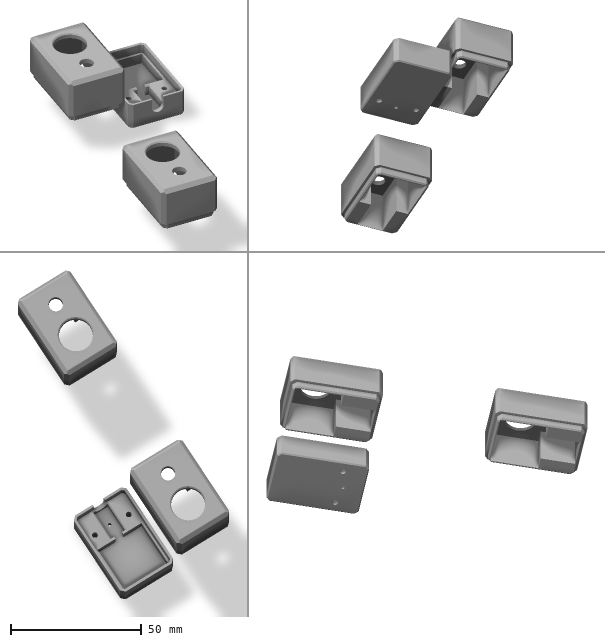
import cadquery as cq
import math

overall_length = 116.3
overall_width = 49.6
overall_height = 29.6

case_length = 36.0
case_width = 24.0
mid_width = case_width / 2
corner_chamfer = 1.5
bottom_chamfer = 0.5
wall = 2.0
battery_end = 20.8
passage_end = case_length - 1.7

shell_height = 15.9
skirt_height = 3.0
cover_height = shell_height + skirt_height
skirt_inset = 1.0
top_chamfer = 1.5
top_bevel_width = 0.2
top_bevel_height = 0.06
roof = 2.1
cover_passage_width = 10.5
big_hole_diameter = 13.0
big_hole_x = 12.0
big_hole_chamfer = 0.5
small_hole_diameter = 5.5
small_hole_x = 26.3
small_hole_chamfer = 0.17

first_cover_x = 0.2
second_cover_x = overall_length - case_length
first_cover_z = overall_height - cover_height
second_cover_drop = 0.09

tray_height = 11.0
rim = 1.0
rim_chamfer = 0.17
rim_depth = 4.0
ledge = tray_height - rim_depth
tray_floor = 2.8
partition = 1.0
neck_width = 3.5
channel_width = 6.5
channel_chamfer = 0.5
screw_hole_diameter = 2.2
screw_hole_x = 26.3
screw_spacing = 15.3
centre_hole_diameter = 1.4
centre_hole_x = 27.8
cable_diameter = 5.0


def box(x0, x1, y0, y1, z0, z1):
    """Box between the given limits."""
    block = cq.Workplane("XY").box(x1 - x0, y1 - y0, z1 - z0, centered=False)
    return block.translate((x0, y0, z0))


def centred_box(x0, x1, width, z0, z1):
    """Box that is centred across the width of the case."""
    return box(x0, x1, mid_width - width / 2, mid_width + width / 2, z0, z1)


def inset_block(inset, corner, z0, z1):
    """Block set in from the case outline, with its vertical corners chamfered."""
    block = box(inset, case_length - inset, inset, case_width - inset, z0, z1)
    return block.edges("|Z").chamfer(corner)


def cylinder(x, y, diameter, z0, z1):
    """Vertical cylinder between two heights."""
    disc = cq.Workplane("XY", origin=(x, y, z0)).circle(diameter / 2)
    return disc.extrude(z1 - z0)


def frustum(x0, x1, y0, y1, z0, z1, inset):
    """Rectangular block whose sides slope inwards by the inset from z0 to z1."""
    length = x1 - x0
    width = y1 - y0
    base = cq.Workplane("XY", origin=((x0 + x1) / 2, (y0 + y1) / 2, z0)).rect(length, width)
    top = base.workplane(offset=z1 - z0).rect(length - 2 * inset, width - 2 * inset)
    return top.loft(ruled=True)


def cover_shell():
    """Outer shell: chamfered corners, a sloped top edge and a shallow bevel around the top."""
    bevel_z = cover_height - top_bevel_height
    slope_z = bevel_z - top_chamfer
    body = box(0, case_length, 0, case_width, skirt_height, slope_z)
    slope = frustum(0, case_length, 0, case_width, slope_z, bevel_z, top_chamfer)
    bevel = frustum(
        top_chamfer, case_length - top_chamfer, top_chamfer, case_width - top_chamfer,
        bevel_z, cover_height, top_bevel_width,
    )
    envelope = inset_block(0, corner_chamfer, skirt_height, cover_height)
    return body.union(slope).union(bevel).intersect(envelope)


def cover_skirt():
    """Narrower skirt that plugs into the rim of the tray."""
    skirt = inset_block(skirt_inset, corner_chamfer, 0, skirt_height)
    return skirt.faces("<Z").chamfer(bottom_chamfer)


def roof_hole(x, diameter, chamfer):
    """Round opening through the roof with a chamfered upper edge."""
    radius = diameter / 2
    bore = cylinder(x, mid_width, diameter, 0, cover_height)
    flare = cq.Workplane("XY", origin=(x, mid_width, cover_height - chamfer)).circle(radius)
    flare = flare.workplane(offset=chamfer).circle(radius + chamfer).loft(ruled=True)
    return bore.union(flare)


def make_cover():
    """Cover with its skirt standing on z = 0; open underneath, with two holes in the roof."""
    roof_z = cover_height - roof
    battery_space = box(wall, battery_end, wall, case_width - wall, 0, roof_z)
    passage = centred_box(battery_end, passage_end, cover_passage_width, 0, roof_z)
    big_hole = roof_hole(big_hole_x, big_hole_diameter, big_hole_chamfer)
    small_hole = roof_hole(small_hole_x, small_hole_diameter, small_hole_chamfer)
    cover = cover_shell().union(cover_skirt())
    return cover.cut(battery_space).cut(passage).cut(big_hole).cut(small_hole)


def rim_recess():
    """Recess that takes the skirt of a cover, an even offset of the case outline."""
    recess_corner = corner_chamfer - rim * (2 - math.sqrt(2))
    return inset_block(rim, recess_corner, ledge, tray_height)


def channel():
    """Cable channel with chamfered upper edges."""
    x0 = battery_end + partition
    half = channel_width / 2
    trough = centred_box(x0, passage_end, channel_width, tray_floor, ledge)
    flare = frustum(
        x0 - channel_chamfer, passage_end + channel_chamfer,
        mid_width - half - channel_chamfer, mid_width + half + channel_chamfer,
        ledge, ledge - channel_chamfer, channel_chamfer,
    )
    return trough.union(flare)


def cable_notch():
    """Round-bottomed slot for the cable through the +X wall."""
    bottom = cq.Workplane("YZ", origin=(passage_end, mid_width, ledge)).circle(cable_diameter / 2)
    bottom = bottom.extrude(case_length - passage_end)
    return bottom.union(centred_box(passage_end, case_length, cable_diameter, ledge, tray_height))


def make_tray():
    """Tray with a rim recess, a battery pocket, a cable channel and holes in its floor."""
    tray = inset_block(0, corner_chamfer, 0, tray_height).faces("<Z").chamfer(bottom_chamfer)
    tray = tray.cut(rim_recess())
    tray = tray.faces(">Z").wires(cq.selectors.AreaNthSelector(0)).chamfer(rim_chamfer)
    tray = tray.cut(box(wall, battery_end, wall, case_width - wall, tray_floor, ledge))
    tray = tray.cut(centred_box(battery_end, battery_end + partition, neck_width, tray_floor, ledge))
    tray = tray.cut(channel())
    for side in (-1, 1):
        screw_y = mid_width + side * screw_spacing / 2
        tray = tray.cut(cylinder(screw_hole_x, screw_y, screw_hole_diameter, 0, ledge))
    tray = tray.cut(cylinder(centre_hole_x, mid_width, centre_hole_diameter, 0, tray_floor))
    return tray.cut(cable_notch())


cover_places = [
    (first_cover_x, 0, first_cover_z),
    (second_cover_x, 0, first_cover_z - second_cover_drop),
]
covers = [make_cover().translate(place) for place in cover_places]
tray = make_tray().translate((0, overall_width - case_width, 0))

result = cq.Compound.makeCompound([*[cover.val() for cover in covers], tray.val()])